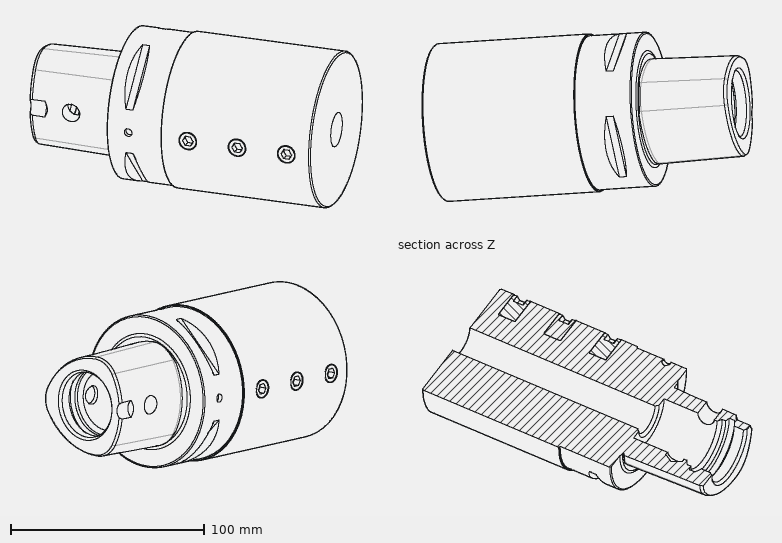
import cadquery as cq
import math

total_length = 160.0
flange_start = 48.0
flange_end = 78.0
flange_radius = 40.0
body_radius = 41.0
flange_chamfer_length = 0.5
flange_chamfer_radial = 0.8
body_chamfer = 0.8
step_chamfer = 0.3

gauge_x = 46.0
lobe_centre_distance = 13.8
lobe_radius = 15.4
lobe_angles = (0, 120, 240)
taper_per_side = 1 / 40
nose_chamfer_length = 1.6
nose_chamfer_radial = 0.8

neck_end_x = 47.4
relief_outer_radius = 29.3
relief_inner_radius = 27.7
rim_front_radius = 28.8
rim_base_radius = 30.4

mouth_radius = 18.4
mouth_bore_radius = 17.1
mouth_chamfer_length = 1.6
mouth_bore_end = 7.0
groove_radius = 20.6
groove_front = 8.8
groove_back = 12.0
seat_radius = 18.0
seat_start = 12.6
seat_end = 14.7
deep_bore_start = 16.5
deep_bore_radius = 15.7
ledge_x = 48.0
through_radius = 9.0
through_chamfer = 1.6

drill_half_angle = math.radians(59)
notch_radius = 5.5
notch_axis_distance = 27.4
notch_length = 8.5
cross_hole_x = 23.0
cross_hole_radius = 4.8
cross_hole_end_y = 17.6
chip_hole_radius = 2.0
chip_hole_depth = 2.4

groove_x = 59.8
gripper_floor_distance = 35.5
gripper_floor_width = 3.8
gripper_side_angle = math.radians(30)
gripper_angles = (45, 135, 225, 315)

screw_count = 3
first_screw_x = 92.8
screw_pitch = 27.0
screw_radius = 4.8
screw_length = 16.0
screw_recess = 0.3
screw_chamfer = 0.3
socket_corner_diameter = 5.8
socket_depth = 4.0


def polar(radius, degrees):
    angle = math.radians(degrees)
    return radius * math.cos(angle), radius * math.sin(angle)


def lobed_wire(x, growth):
    """Six tangent arcs in the plane at x; growth moves the outline outwards."""
    corner_radius = lobe_radius + growth
    side_radius = corner_radius + math.sqrt(3) * lobe_centre_distance

    def point(centre_angle, radius, direction):
        cy, cz = polar(lobe_centre_distance, centre_angle)
        dy, dz = polar(radius, direction)
        return cy + dy, cz + dz

    outline = cq.Workplane("YZ", origin=(x, 0, 0)).moveTo(*point(0, corner_radius, -30))
    for angle in lobe_angles:
        outline = outline.threePointArc(
            point(angle, corner_radius, angle), point(angle, corner_radius, angle + 30)
        )
        outline = outline.threePointArc(
            point(angle + 240, side_radius, angle + 60),
            point(angle + 120, corner_radius, angle + 90),
        )
    return outline.close().val()


def revolve_profile(points):
    """Solid of revolution about X from (x, radius) points."""
    return cq.Workplane("XY").polyline(points).close().revolve(360, (0, 0, 0), (1, 0, 0))


def drill(start, direction, radius, depth):
    """Cylinder with a conical point; depth is that of the cylinder."""
    point_length = radius / math.tan(drill_half_angle)
    shaft = cq.Solid.makeCylinder(radius, depth, start, direction)
    tip = cq.Solid.makeCone(radius, 0, point_length, start + direction * depth, direction)
    return cq.Workplane(shaft.fuse(tip))


def shank():
    nose_growth = -gauge_x * taper_per_side
    chamfer_growth = (nose_chamfer_length - gauge_x) * taper_per_side
    front_wire = lobed_wire(0, nose_growth - nose_chamfer_radial)
    chamfer_wire = lobed_wire(nose_chamfer_length, chamfer_growth)
    gauge_wire = lobed_wire(gauge_x, 0)
    nose = cq.Solid.makeLoft([front_wire, chamfer_wire], True)
    taper = cq.Solid.makeLoft([chamfer_wire, gauge_wire], True)
    neck = cq.Workplane("YZ", origin=(gauge_x, 0, 0)).add(gauge_wire).toPending()
    neck = neck.extrude(flange_start - gauge_x)
    relief = revolve_profile(
        [
            (gauge_x, 0),
            (gauge_x, relief_outer_radius),
            (neck_end_x, relief_inner_radius),
            (flange_start, relief_inner_radius),
            (flange_start, 0),
        ]
    )
    return cq.Workplane(nose).union(cq.Workplane(taper)).union(neck.intersect(relief))


def flange_and_body():
    return revolve_profile(
        [
            (neck_end_x, 0),
            (neck_end_x, rim_front_radius),
            (flange_start, rim_base_radius),
            (flange_start, flange_radius - flange_chamfer_radial),
            (flange_start + flange_chamfer_length, flange_radius),
            (flange_end, flange_radius),
            (flange_end, body_radius - step_chamfer),
            (flange_end + step_chamfer, body_radius),
            (total_length - body_chamfer, body_radius),
            (total_length, body_radius - body_chamfer),
            (total_length, 0),
        ]
    )


def axial_bore():
    return revolve_profile(
        [
            (0, 0),
            (0, mouth_radius),
            (mouth_chamfer_length, mouth_bore_radius),
            (mouth_bore_end, mouth_bore_radius),
            (groove_front, groove_radius),
            (groove_back, groove_radius),
            (seat_start, seat_radius),
            (seat_end, seat_radius),
            (deep_bore_start, deep_bore_radius),
            (ledge_x, deep_bore_radius),
            (ledge_x, through_radius + through_chamfer),
            (ledge_x + through_chamfer, through_radius),
            (total_length, through_radius),
            (total_length, 0),
        ]
    )


def gripper_grooves():
    """Trapezoidal grooves with a flat floor square to each diagonal."""
    top = body_radius
    floor_half = gripper_floor_width / 2
    top_half = floor_half + (top - gripper_floor_distance) * math.tan(gripper_side_angle)
    profile = [
        (groove_x - floor_half, gripper_floor_distance),
        (groove_x + floor_half, gripper_floor_distance),
        (groove_x + top_half, top),
        (groove_x - top_half, top),
    ]
    groove = cq.Workplane("XZ").polyline(profile).close().extrude(flange_radius, both=True)
    cutters = cq.Workplane()
    for angle in gripper_angles:
        cutters = cutters.add(groove.rotate((0, 0, 0), (1, 0, 0), angle))
    return cutters.combine()


def screw_positions():
    return [first_screw_x + index * screw_pitch for index in range(screw_count)]


def screw_hole(x):
    depth = screw_recess + screw_length
    start = cq.Vector(x, -body_radius, 0)
    return cq.Workplane(cq.Solid.makeCylinder(screw_radius, depth, start, cq.Vector(0, 1, 0)))


def clamping_screw(x):
    face_y = -body_radius + screw_recess
    shaft = cq.Workplane("XZ", origin=(x, face_y, 0)).circle(screw_radius).extrude(-screw_length)
    shaft = shaft.faces("<Y").chamfer(screw_chamfer)
    socket = cq.Workplane("XZ", origin=(x, face_y, 0)).polygon(6, socket_corner_diameter)
    socket = socket.extrude(-socket_depth)
    return shaft.cut(socket)


def end_notch():
    """Drilled along X into the front face, open to the -Y side of the shank."""
    start = cq.Vector(0, -notch_axis_distance, 0)
    return drill(start, cq.Vector(1, 0, 0), notch_radius, notch_length)


def cross_hole():
    """Drilled across the axial bore, with its conical point in the +Y wall."""
    start = cq.Vector(cross_hole_x, -body_radius, 0)
    return drill(start, cq.Vector(0, 1, 0), cross_hole_radius, body_radius + cross_hole_end_y)


def chip_hole():
    start = cq.Vector(groove_x, -flange_radius, 0)
    return drill(start, cq.Vector(0, 1, 0), chip_hole_radius, chip_hole_depth)


def make_holder():
    holder = shank().union(flange_and_body())
    holder = holder.cut(axial_bore()).cut(gripper_grooves())
    holder = holder.cut(end_notch()).cut(cross_hole()).cut(chip_hole())
    for x in screw_positions():
        holder = holder.cut(screw_hole(x))
    return holder


holder = make_holder()
screws = [clamping_screw(x) for x in screw_positions()]
result = cq.Compound.makeCompound([holder.val(), *[screw.val() for screw in screws]])